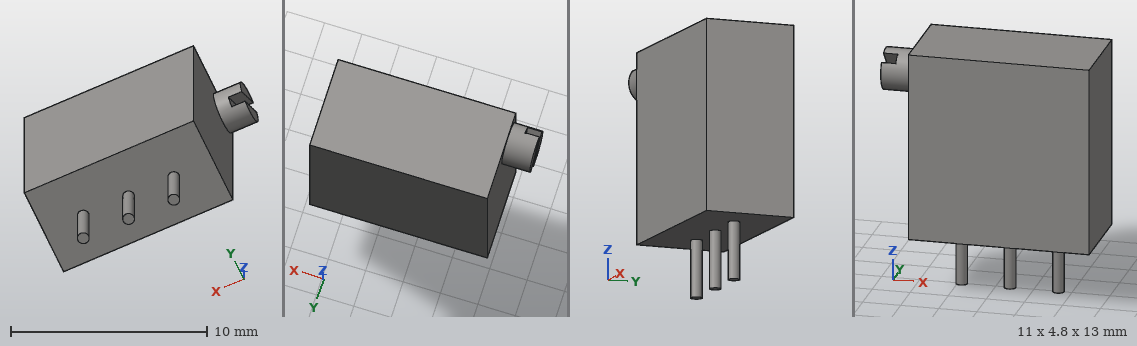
import cadquery as cq


body_length = 9.5
body_width = 4.8
body_height = 10.0

pin_diameter = 0.6
pin_length = 3.0
pin_pitch = 2.54
pin_count = 3

screw_diameter = 2.2
screw_length = 1.5
screw_inset = 1.27
screw_y = -body_width / 2 + screw_inset
screw_z = body_height - screw_inset

slot_width = screw_diameter / 4
slot_depth = screw_length / 2
slot_angle = 48.5


def make_body():
    return cq.Workplane("XY").box(
        body_length, body_width, body_height, centered=(True, True, False)
    )


def make_pins():
    first_x = -pin_pitch * (pin_count - 1) / 2
    centers = [(first_x + i * pin_pitch, 0) for i in range(pin_count)]
    return cq.Workplane("XY").pushPoints(centers).circle(pin_diameter / 2).extrude(-pin_length)


def make_screw():
    """Cylinder along -X with a slot across its end face."""
    face_x = -body_length / 2 - screw_length
    end_face = cq.Workplane("YZ", origin=(face_x, screw_y, screw_z))
    shaft = end_face.circle(screw_diameter / 2).extrude(screw_length)
    slot_length = 2 * screw_diameter
    slot = (
        end_face.transformed(rotate=(0, 0, -slot_angle))
        .rect(slot_length, slot_width)
        .extrude(slot_depth)
    )
    return shaft.cut(slot)


result = make_body().union(make_pins()).union(make_screw())